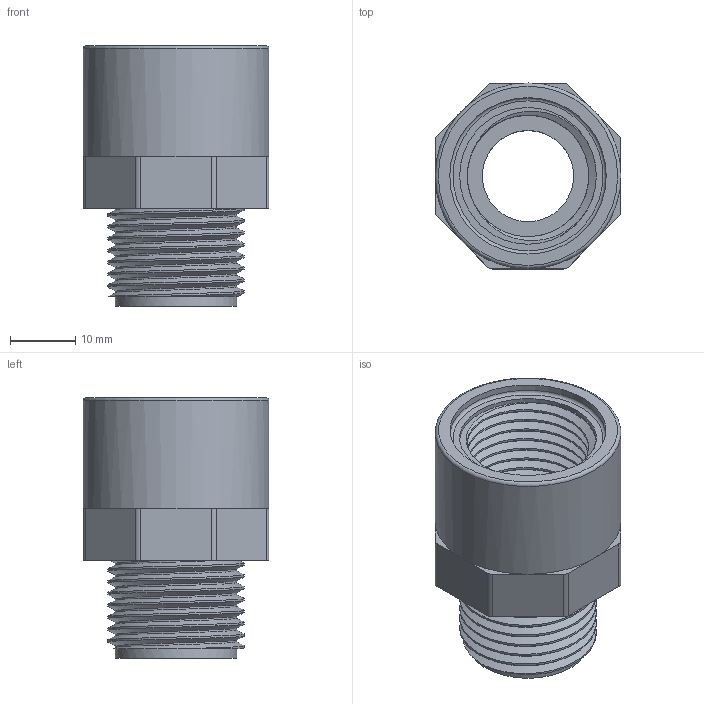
import cadquery as cq
import math

total_height = 40.0
body_diameter = 28.5
through_bore_diameter = 14.0
body_rim_fillet = 0.5

collar_sides = 8
collar_across_flats = body_diameter
collar_bottom = 15.0
collar_height = 8.0
collar_top = collar_bottom + collar_height
collar_corner_radius = 1.0

thread_major_diameter = 20.955
thread_minor_diameter = 18.63
thread_pitch = 25.4 / 14
thread_flat = thread_pitch / 6
thread_root_overlap = 0.1

spigot_lead = 1.5
spigot_crest_height = 2.22

counterbore_diameter = 24.0
counterbore_depth = 1.5
counterbore_fillet = 0.5
counterbore_floor = total_height - counterbore_depth
socket_floor = collar_top
socket_relief_depth = 0.7
socket_relief_clearance = 0.015
socket_relief_diameter = thread_major_diameter + socket_relief_clearance
socket_thread_top = counterbore_floor - socket_relief_depth
socket_crest_height = socket_thread_top


def cylinder(diameter, bottom, top):
    return cq.Workplane("XY").workplane(offset=bottom).circle(diameter / 2).extrude(top - bottom)


def thread_ridge(bottom, top, crest_height):
    """Right-handed helical ridge with flat crest, trimmed square at bottom and top.

    The crest crosses the +X side at crest_height and at every pitch above and below it.
    The swept profile reaches inside the minor diameter so that the ridge fuses with its core.
    """
    root_radius = thread_minor_diameter / 2
    crest_radius = thread_major_diameter / 2
    flank_rise = (thread_pitch - 2 * thread_flat) / 2
    flank_slope = flank_rise / (crest_radius - root_radius)
    base_radius = root_radius - thread_root_overlap
    crest_half = thread_flat / 2
    base_half = crest_half + flank_rise + thread_root_overlap * flank_slope

    turns_below = math.ceil((crest_height - bottom) / thread_pitch) + 1
    start = crest_height - turns_below * thread_pitch
    turns = math.ceil((top - start) / thread_pitch) + 1
    helix = cq.Wire.makeHelix(thread_pitch, turns * thread_pitch, root_radius, cq.Vector(0, 0, start))
    ridge = (
        cq.Workplane("XZ")
        .polyline([
            (base_radius, start - base_half),
            (crest_radius, start - crest_half),
            (crest_radius, start + crest_half),
            (base_radius, start + base_half),
        ])
        .close()
        .sweep(cq.Workplane(helix), isFrenet=True)
    )
    return ridge.intersect(cylinder(body_diameter, bottom, top))


def threaded_rod(bottom, top, crest_height):
    core = cylinder(thread_minor_diameter, bottom, top)
    return core.union(thread_ridge(bottom, top, crest_height))


def body():
    barrel = cylinder(body_diameter, collar_bottom, total_height)
    return barrel.faces(">Z").edges().fillet(body_rim_fillet)


def collar():
    across_corners = collar_across_flats / math.cos(math.pi / collar_sides)
    return (
        cq.Workplane("XY")
        .workplane(offset=collar_bottom)
        .transformed(rotate=(0, 0, 180 / collar_sides))
        .polygon(collar_sides, across_corners)
        .extrude(collar_height)
        .edges("|Z")
        .fillet(collar_corner_radius)
    )


def spigot():
    lead = cylinder(thread_minor_diameter, 0, spigot_lead)
    return lead.union(threaded_rod(spigot_lead, collar_bottom, spigot_crest_height))


def counterbore():
    pocket = cylinder(counterbore_diameter, counterbore_floor, total_height)
    return pocket.faces("<Z").edges().fillet(counterbore_fillet)


result = (
    body()
    .union(collar())
    .union(spigot())
    .cut(threaded_rod(socket_floor, socket_thread_top, socket_crest_height))
    .cut(cylinder(socket_relief_diameter, socket_thread_top, counterbore_floor))
    .cut(counterbore())
    .cut(cylinder(through_bore_diameter, 0, total_height))
    .solids()
)